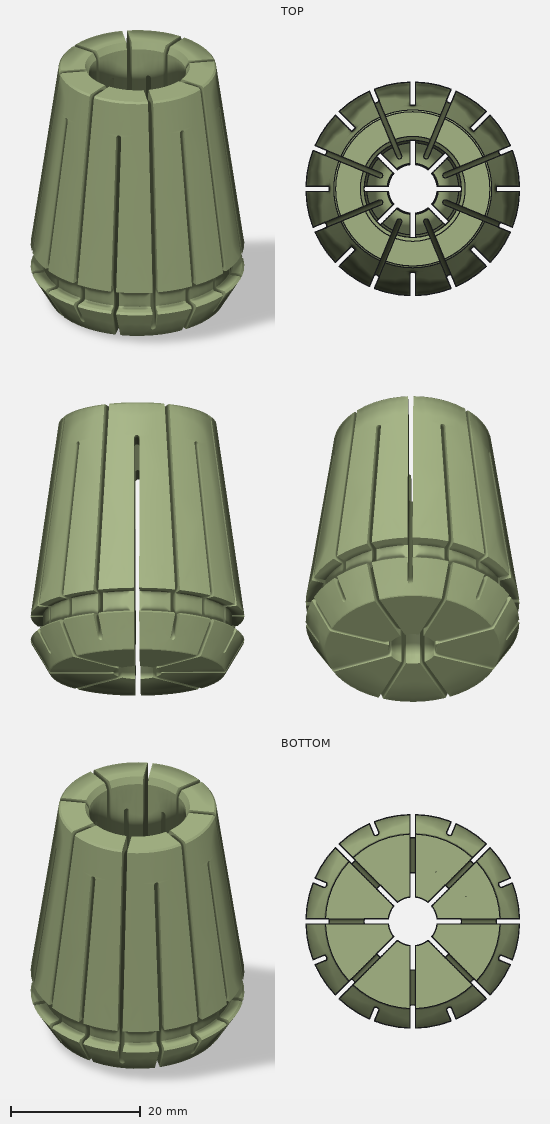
import cadquery as cq
import math

total_height = 40.0
collar_edge_height = 5.15
collar_top_height = 5.5
groove_top_height = 9.05
bore_floor_height = 24.75

widest_radius = 33.0 / 2
groove_radius = 14.6
root_chamfer = 0.2
nose_chamfer = 0.1
body_taper_angle = 8.0
nose_taper_angle = 30.0
collar_chamfer = 0.3
top_chamfer = 0.3

relief_radius = 15.0 / 2
clamp_radius = 7.5 / 2
bore_chamfer_angle = 30.0
mouth_chamfer = 0.6
floor_chamfer = 0.4
clamp_chamfer = 0.2

slot_count = 8
slot_width = 0.8
nose_slot_top = 34.5
top_slot_slope = 68.0
top_slot_inner_radius = 5.05
slot_overrun = 2.0

slot_pitch = 360.0 / slot_count
slot_reach = widest_radius + slot_overrun


def outer_body():
    """Solid of revolution: tapered nose, groove and long tapered body."""
    nose_rise = collar_edge_height - nose_chamfer
    nose_radius = widest_radius - nose_rise * math.tan(math.radians(nose_taper_angle))
    chamfer_height = total_height - top_chamfer
    body_rise = chamfer_height - groove_top_height
    body_top_radius = widest_radius - body_rise * math.tan(math.radians(body_taper_angle))
    outline = [
        (0, 0),
        (nose_radius - nose_chamfer, 0),
        (nose_radius, nose_chamfer),
        (widest_radius, collar_edge_height),
        (widest_radius - collar_chamfer, collar_top_height),
        (groove_radius + root_chamfer, collar_top_height),
        (groove_radius, collar_top_height + root_chamfer),
        (groove_radius, groove_top_height),
        (widest_radius, groove_top_height),
        (body_top_radius, chamfer_height),
        (body_top_radius - top_chamfer, total_height),
        (0, total_height),
    ]
    return cq.Workplane("XZ").polyline(outline).close().revolve(360, (0, 0), (0, 1))


def stepped_bore():
    """Narrow clamping bore opening into a wider relief, with conical edges."""
    rise = 1.0 / math.tan(math.radians(bore_chamfer_angle))
    outline = [
        (0, 0),
        (clamp_radius, 0),
        (clamp_radius, bore_floor_height - clamp_chamfer * rise),
        (clamp_radius + clamp_chamfer, bore_floor_height),
        (relief_radius - floor_chamfer, bore_floor_height),
        (relief_radius, bore_floor_height + floor_chamfer * rise),
        (relief_radius, total_height - mouth_chamfer * rise),
        (relief_radius + mouth_chamfer, total_height),
        (0, total_height),
    ]
    return cq.Workplane("XZ").polyline(outline).close().revolve(360, (0, 0), (0, 1))


def nose_slot():
    """Slot along +X open at the nose, with a half-round end inside the wall."""
    half_width = slot_width / 2
    round_center = nose_slot_top - half_width
    return (
        cq.Workplane("YZ")
        .moveTo(-half_width, -slot_overrun)
        .lineTo(-half_width, round_center)
        .threePointArc((0, nose_slot_top), (half_width, round_center))
        .lineTo(half_width, -slot_overrun)
        .close()
        .extrude(slot_reach)
    )


def top_slot():
    """Slot along +X open at the top, its half-round floor rising inwards past the bore floor.

    Beyond the axis it only passes through the slot that faces it.
    """
    half_width = slot_width / 2
    slope = math.radians(top_slot_slope)
    floor_plane = cq.Plane(
        origin=(top_slot_inner_radius, 0, bore_floor_height),
        xDir=(0, 1, 0),
        normal=(math.cos(slope), 0, -math.sin(slope)),
    )
    length = total_height
    depth = total_height
    return (
        cq.Workplane(floor_plane)
        .workplane(offset=-length)
        .moveTo(-half_width, depth)
        .lineTo(-half_width, half_width)
        .threePointArc((0, 0), (half_width, half_width))
        .lineTo(half_width, depth)
        .close()
        .extrude(2 * length)
    )


result = outer_body().cut(stepped_bore())
axis_start = (0, 0, 0)
axis_end = (0, 0, 1)
for index in range(slot_count):
    angle = index * slot_pitch
    result = result.cut(nose_slot().rotate(axis_start, axis_end, angle))
    result = result.cut(top_slot().rotate(axis_start, axis_end, angle + slot_pitch / 2))